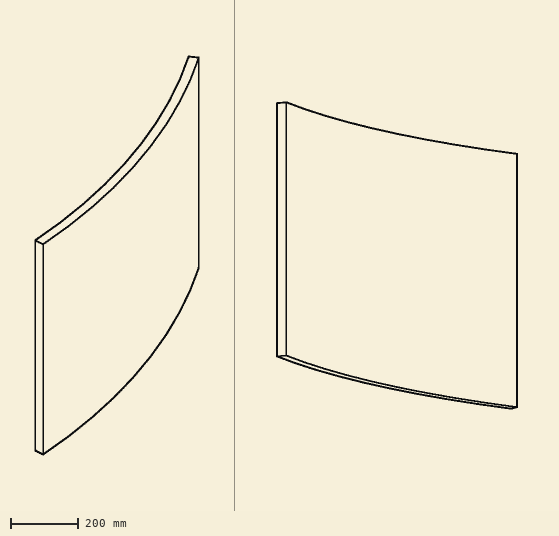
import cadquery as cq
import math

outer_radius = 2060.0
thickness = 31.25
height = 770.0
start_angle = 21.0
end_angle = 51.0

inner_radius = outer_radius - thickness
middle_angle = (start_angle + end_angle) / 2


def polar_point(radius, angle):
    """Point in the XY plane at a distance and an angle in degrees from the shell axis."""
    radians = math.radians(angle)
    return (radius * math.cos(radians), radius * math.sin(radians))


def curved_panel():
    """Arc-shaped profile with radial ends, extruded to the panel height."""
    return (
        cq.Workplane("XY")
        .moveTo(*polar_point(outer_radius, start_angle))
        .threePointArc(
            polar_point(outer_radius, middle_angle),
            polar_point(outer_radius, end_angle),
        )
        .lineTo(*polar_point(inner_radius, end_angle))
        .threePointArc(
            polar_point(inner_radius, middle_angle),
            polar_point(inner_radius, start_angle),
        )
        .close()
        .extrude(height)
    )


result = curved_panel()